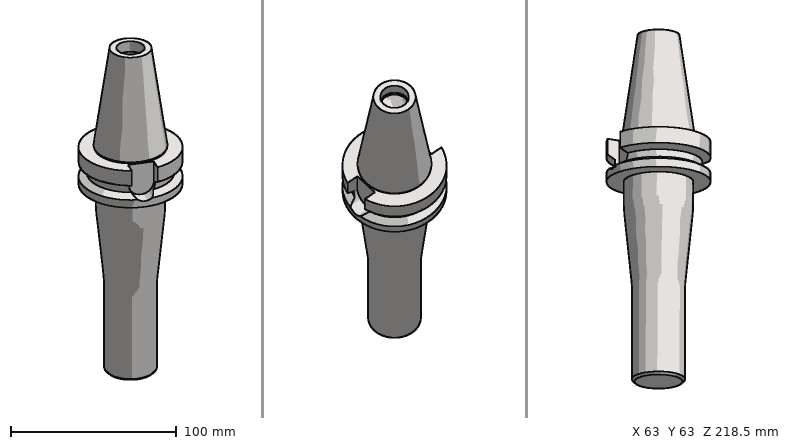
import cadquery as cq
import math


overall_length = 218.5
taper_length = 66.2
gauge_radius = 44.8 / 2
taper_rate = 7 / 24
taper_tip_radius = gauge_radius - taper_length * taper_rate / 2
relief_radius = 44.0 / 2

flange_radius = 63.0 / 2
flange_top = -1.0
flange_thickness = 25.1
flange_bottom = flange_top - flange_thickness
groove_radius = 53.0 / 2
groove_wall_height = 2.6
upper_rim_height = 10.0
lower_rim_height = 5.2
groove_top = flange_top - upper_rim_height
groove_bottom = flange_bottom + lower_rim_height

slot_width = 16.2
slot_depth = 21.2
slot_floor_distance = 22.5

neck_radius = 42.0 / 2
shank_radius = 32.0 / 2
neck_length = 17.7
shank_cone_length = 48.0
blend_radius = 50.0
end_chamfer = 1.5
shank_bottom = taper_length - overall_length
cone_top = flange_bottom - neck_length
cone_bottom = cone_top - shank_cone_length

mouth_radius = 17.0 / 2
mouth_depth = 7.2
recess_radius = 17.5 / 2
bore_depth = 9.2
countersink_height = 1.3
pilot_radius = 14.0 / 2
drill_point_angle = math.radians(118)
drill_point_height = pilot_radius / math.tan(drill_point_angle / 2)


def make_body():
    """Revolve the complete outer profile about Z."""
    cone_angle = math.atan2(neck_radius - shank_radius, shank_cone_length)
    tangent_length = blend_radius * math.tan(cone_angle / 2)
    along_r = tangent_length * math.sin(cone_angle)
    along_z = tangent_length * math.cos(cone_angle)
    lower_start = (shank_radius, cone_bottom - tangent_length)
    lower_end = (shank_radius + along_r, cone_bottom + along_z)
    upper_start = (neck_radius - along_r, cone_top - along_z)
    upper_end = (neck_radius, cone_top + tangent_length)

    profile = (
        cq.Workplane("XZ")
        .moveTo(0, shank_bottom)
        .lineTo(shank_radius - end_chamfer, shank_bottom)
        .lineTo(shank_radius, shank_bottom + end_chamfer)
        .lineTo(*lower_start)
        .tangentArcPoint(lower_end, relative=False)
        .lineTo(*upper_start)
        .tangentArcPoint(upper_end, relative=False)
        .lineTo(neck_radius, flange_bottom)
        .lineTo(flange_radius, flange_bottom)
        .lineTo(flange_radius, groove_bottom)
        .lineTo(groove_radius, groove_bottom + groove_wall_height)
        .lineTo(groove_radius, groove_top - groove_wall_height)
        .lineTo(flange_radius, groove_top)
        .lineTo(flange_radius, flange_top)
        .lineTo(relief_radius, flange_top)
        .lineTo(gauge_radius, 0)
        .lineTo(taper_tip_radius, taper_length)
        .lineTo(0, taper_length)
        .close()
    )
    return profile.revolve(360, (0, 0, 0), (0, 1, 0))


def make_drive_slot(side):
    """Cutter for one round-ended drive slot; side is +1 or -1 along X."""
    half_width = slot_width / 2
    lowest = flange_top - slot_depth
    return (
        cq.Workplane("YZ", origin=(side * slot_floor_distance, 0, 0))
        .moveTo(-half_width, flange_top)
        .lineTo(-half_width, lowest + half_width)
        .threePointArc((0, lowest), (half_width, lowest + half_width))
        .lineTo(half_width, flange_top)
        .close()
        .extrude(side * flange_radius)
    )


def make_bore():
    """Cutter for the draw-bar bore: mouth, undercut recess, countersink and drill point."""
    bore_bottom = taper_length - bore_depth
    mouth_bottom = taper_length - mouth_depth
    pilot_bottom = bore_bottom - countersink_height
    return (
        cq.Workplane("XZ")
        .moveTo(0, taper_length)
        .lineTo(mouth_radius, taper_length)
        .lineTo(mouth_radius, mouth_bottom)
        .lineTo(recess_radius, mouth_bottom)
        .lineTo(recess_radius, bore_bottom)
        .lineTo(pilot_radius, pilot_bottom)
        .lineTo(0, pilot_bottom - drill_point_height)
        .close()
        .revolve(360, (0, 0, 0), (0, 1, 0))
    )


result = make_body().cut(make_bore())
for slot_side in (1, -1):
    result = result.cut(make_drive_slot(slot_side))